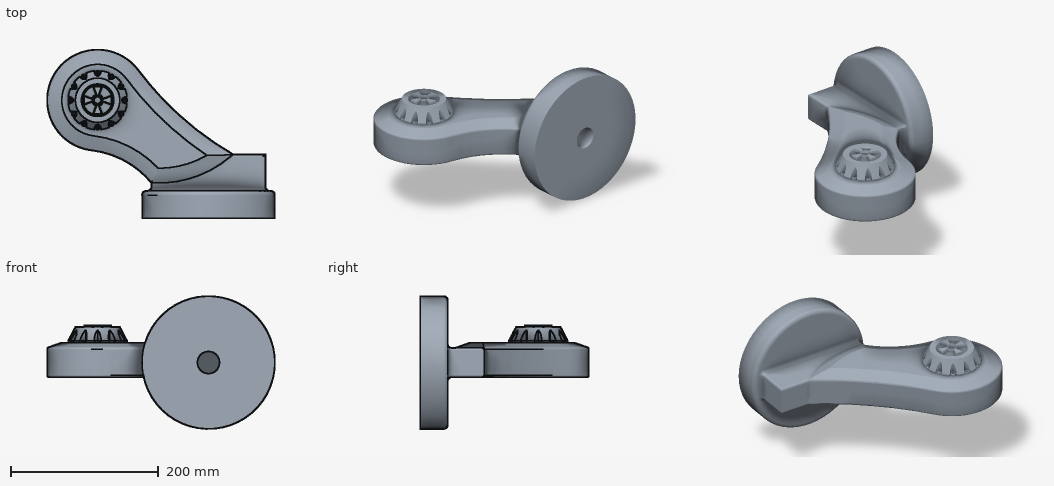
import cadquery as cq
import math

DISC_RADIUS = 90.0
DISC_THICKNESS = 37.5
DISC_RIM_FILLET = 6.0
BORE_RADIUS = 15.0

NECK_HALF_WIDTH = 77.3
NECK_HALF_HEIGHT = 20.0
NECK_END_Y = 86.8
NECK_EDGE_FILLET = 3.5
NECK_ARM_SIDE_FILLET = 0.5
NECK_ROOT_FILLET = 5.0

PIVOT_X = -150.0
PIVOT_Y = 160.0
PIVOT_RADIUS = 68.5
UPPER_TANGENT_ANGLE = 36.7
LOWER_TANGENT_ANGLE = -96.5
UPPER_END = (33.3, NECK_END_Y)
LOWER_END = (-NECK_HALF_WIDTH, 48.2)
NECK_SIDE_MIDDLE = (-10.0, 59.3)
ARM_BOTTOM = -NECK_HALF_HEIGHT
ARM_TOP = 27.0
BEVEL_HEIGHT = ARM_TOP - NECK_HALF_HEIGHT
BEVEL_WIDTH = 20.0
ARM_EDGE_FILLET = 3.0

KNOB_BASE_RADIUS = 40.0
KNOB_TOP_RADIUS = 30.0
KNOB_HEIGHT = 21.2
KNOB_RING_HEIGHT = 2.5
KNOB_TOP = ARM_TOP + KNOB_HEIGHT

FLUTE_COUNT = 12
FLUTE_APEX_RADIUS = 32.4
FLUTE_HALF_WIDTH = 4.8
SCREW_CIRCLE_RADIUS = 36.8
SCREW_HEAD_RADIUS = 3.2
SCREW_HEAD_HEIGHT = 2.5
SCREW_SOCKET_SIDES = 6
SCREW_SOCKET_SIZE = 3.5
SCREW_SOCKET_DEPTH = 1.5

RECESS_TOP_RADIUS = 22.0
RECESS_FLOOR_RADIUS = 20.0
RECESS_DEPTH = 2.5
RECESS_FLOOR = KNOB_TOP - RECESS_DEPTH
WHEEL_RISE = 2.0
WHEEL_HEIGHT = RECESS_DEPTH + WHEEL_RISE
SPOKE_COUNT = 4
SPOKE_END_RADIUS = 19.2
SPOKE_INNER_RADIUS = 5.5
SPOKE_INNER_WIDTH = 3.5
SPOKE_OUTER_WIDTH = 13.5
HUB_RADIUS = 7.8
WHEEL_DRAFT = 10.0
HUB_PIT_TOP_RADIUS = 6.5
HUB_PIT_FLOOR_RADIUS = 4.7

OVERLAP = 1.0
TOUCH = 0.01


def pivot_point(angle):
    """Point on the rim of the pivot end at an angle in degrees."""
    a = math.radians(angle)
    return cq.Vector(PIVOT_X + PIVOT_RADIUS * math.cos(a), PIVOT_Y + PIVOT_RADIUS * math.sin(a), 0)


def rim_tangent(angle):
    """Counter-clockwise direction along the rim of the pivot end."""
    a = math.radians(angle)
    return cq.Vector(-math.sin(a), math.cos(a), 0)


def make_arm():
    """Arm with a wide bevel around its top and rounded upper and lower rims."""
    upper_start = pivot_point(UPPER_TANGENT_ANGLE)
    lower_start = pivot_point(LOWER_TANGENT_ANGLE)
    far_angle = (UPPER_TANGENT_ANGLE + LOWER_TANGENT_ANGLE) / 2 + 180
    upper_end = cq.Vector(*UPPER_END, 0)
    lower_end = cq.Vector(*LOWER_END, 0)
    outline = cq.Wire.assembleEdges([
        cq.Edge.makeThreePointArc(upper_start, pivot_point(far_angle), lower_start),
        cq.Edge.makeTangentArc(lower_start, rim_tangent(LOWER_TANGENT_ANGLE), lower_end),
        cq.Edge.makeThreePointArc(lower_end, cq.Vector(*NECK_SIDE_MIDDLE, 0), upper_end),
        cq.Edge.makeTangentArc(upper_start, -rim_tangent(UPPER_TANGENT_ANGLE), upper_end),
    ])
    body = cq.Workplane(cq.Solid.extrudeLinear(outline, [], cq.Vector(0, 0, ARM_TOP - ARM_BOTTOM)))
    body = body.translate((0, 0, ARM_BOTTOM))
    bevelled = body.faces(">Z").chamfer(BEVEL_HEIGHT, BEVEL_WIDTH)
    neck_side = cq.Vertex.makeVertex(*NECK_SIDE_MIDDLE, 0)
    rims = [
        edge
        for wall in bevelled.faces("%CYLINDER").vals()
        if wall.distance(neck_side) > TOUCH
        for edge in wall.Edges()
        if edge.geomType() == "CIRCLE"
    ]
    return bevelled.newObject(rims).fillet(ARM_EDGE_FILLET)


def make_mount():
    """Round-rimmed disc with the neck block blended into it."""
    disc = (
        cq.Workplane("XZ")
        .circle(DISC_RADIUS)
        .extrude(-DISC_THICKNESS)
        .faces(">Y")
        .edges()
        .fillet(DISC_RIM_FILLET)
    )
    neck_start_y = DISC_THICKNESS / 2
    neck = (
        cq.Workplane("XZ", origin=(0, neck_start_y, 0))
        .rect(2 * NECK_HALF_WIDTH, 2 * NECK_HALF_HEIGHT)
        .extrude(neck_start_y - NECK_END_Y)
        .edges("(>X and |Y) or (>Y and |X)")
        .fillet(NECK_EDGE_FILLET)
        .edges("<X and |Y")
        .fillet(NECK_ARM_SIDE_FILLET)
    )
    root = cq.selectors.BoxSelector(
        (-DISC_RADIUS, DISC_THICKNESS - TOUCH, -DISC_RADIUS / 2),
        (DISC_RADIUS, DISC_THICKNESS + TOUCH, DISC_RADIUS / 2),
        boundingbox=True,
    )
    return disc.union(neck).edges(root).fillet(NECK_ROOT_FILLET)


def make_bore():
    """Blind hole in the back of the disc, as deep as the disc is thick."""
    return cq.Workplane("XZ").circle(BORE_RADIUS).extrude(-DISC_THICKNESS)


def at_pivot(height):
    """Workplane over the pivot centre at a height."""
    return cq.Workplane("XY", origin=(PIVOT_X, PIVOT_Y, height))


def repeat_around_pivot(shape, count):
    """Evenly spaced copies of a shape around the pivot axis."""
    axis_start = (PIVOT_X, PIVOT_Y, 0)
    axis_end = (PIVOT_X, PIVOT_Y, 1)
    copies = cq.Workplane()
    for i in range(count):
        copies = copies.add(shape.rotate(axis_start, axis_end, i * 360 / count))
    return copies.combine()


def make_cone(bottom_radius, top_radius, bottom, top):
    """Upright cone frustum on the pivot axis."""
    return cq.Workplane(
        cq.Solid.makeCone(bottom_radius, top_radius, top - bottom, cq.Vector(PIVOT_X, PIVOT_Y, bottom))
    )


def make_knob():
    """Conical knob on a short cylindrical ring, with a recess in its top."""
    ring_top = ARM_TOP + KNOB_RING_HEIGHT
    ring = at_pivot(ARM_TOP - OVERLAP).circle(KNOB_BASE_RADIUS).extrude(KNOB_RING_HEIGHT + OVERLAP)
    cone = make_cone(KNOB_BASE_RADIUS, KNOB_TOP_RADIUS, ring_top, KNOB_TOP)
    recess = make_cone(RECESS_FLOOR_RADIUS, RECESS_TOP_RADIUS, RECESS_FLOOR, KNOB_TOP)
    return ring.union(cone).cut(recess)


def make_flutes():
    """Upright cutters with a pointed-arch section that scallop the knob down to the arm."""
    depth = KNOB_BASE_RADIUS - FLUTE_APEX_RADIUS
    arc_radius = (FLUTE_HALF_WIDTH**2 + depth**2) / (2 * FLUTE_HALF_WIDTH)
    mouth_end = KNOB_BASE_RADIUS + OVERLAP
    flute = (
        at_pivot(ARM_TOP)
        .moveTo(mouth_end, -FLUTE_HALF_WIDTH)
        .lineTo(KNOB_BASE_RADIUS, -FLUTE_HALF_WIDTH)
        .radiusArc((FLUTE_APEX_RADIUS, 0), arc_radius)
        .radiusArc((KNOB_BASE_RADIUS, FLUTE_HALF_WIDTH), arc_radius)
        .lineTo(mouth_end, FLUTE_HALF_WIDTH)
        .close()
        .extrude(KNOB_HEIGHT)
    )
    return repeat_around_pivot(flute, FLUTE_COUNT)


def make_screw_heads():
    """Socket-head screws standing on the arm inside the flutes."""
    heads = (
        at_pivot(ARM_TOP - OVERLAP)
        .polarArray(SCREW_CIRCLE_RADIUS, 0, 360, FLUTE_COUNT)
        .circle(SCREW_HEAD_RADIUS)
        .extrude(SCREW_HEAD_HEIGHT + OVERLAP)
    )
    sockets = (
        at_pivot(ARM_TOP + SCREW_HEAD_HEIGHT - SCREW_SOCKET_DEPTH)
        .polarArray(SCREW_CIRCLE_RADIUS, 0, 360, FLUTE_COUNT)
        .polygon(SCREW_SOCKET_SIDES, SCREW_SOCKET_SIZE)
        .extrude(SCREW_SOCKET_DEPTH)
    )
    return heads.cut(sockets)


def make_wheel():
    """Drafted hub with flaring spokes and a tapered pit in the hub."""
    wheel_top = RECESS_FLOOR + WHEEL_HEIGHT
    base = RECESS_FLOOR - OVERLAP
    height = WHEEL_HEIGHT + OVERLAP
    hub = at_pivot(base).circle(HUB_RADIUS).extrude(height, taper=WHEEL_DRAFT)
    spoke_outline = [
        (SPOKE_INNER_RADIUS, -SPOKE_INNER_WIDTH / 2),
        (SPOKE_END_RADIUS, -SPOKE_OUTER_WIDTH / 2),
        (SPOKE_END_RADIUS, SPOKE_OUTER_WIDTH / 2),
        (SPOKE_INNER_RADIUS, SPOKE_INNER_WIDTH / 2),
    ]
    spoke = at_pivot(base).polyline(spoke_outline).close().extrude(height, taper=WHEEL_DRAFT)
    wheel = hub.union(repeat_around_pivot(spoke, SPOKE_COUNT))
    return wheel.cut(make_cone(HUB_PIT_FLOOR_RADIUS, HUB_PIT_TOP_RADIUS, RECESS_FLOOR, wheel_top))


knob = make_knob().cut(make_flutes())
result = (
    make_mount()
    .union(make_arm())
    .cut(make_bore())
    .union(knob)
    .union(make_screw_heads())
    .union(make_wheel())
)